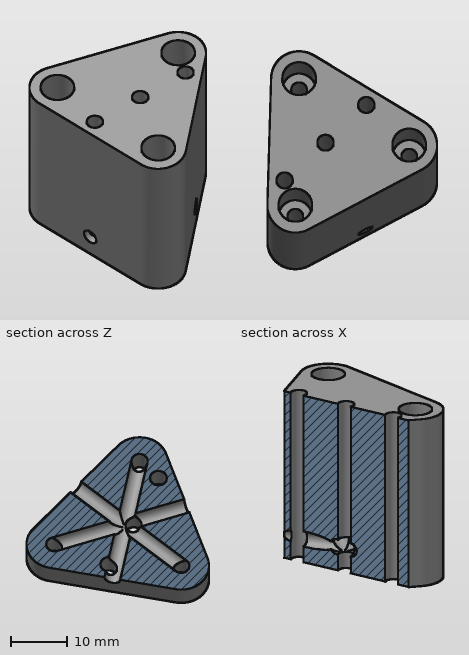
import cadquery as cq
import math

height = 32.0
overall_width = 32.27
corner_radius = 5.0
face_angles = (45, 165, 285)
corner_angles = [angle + 180 for angle in face_angles]

far_reach = math.cos(math.radians(15))
near_reach = math.cos(math.radians(45))
corner_circle_radius = (overall_width - 2 * corner_radius) / (far_reach + near_reach)
face_distance = corner_circle_radius / 2 + corner_radius

centroid_offset = overall_width / 2 - corner_radius - corner_circle_radius * far_reach

bolt_diameter = 2.8
counterbore_diameter = 6.0
counterbore_depth = 10.0

row_hole_diameter = 2.9
row_pitch = 10.0
row_center = (-0.58, -0.58)

side_hole_diameter = 2.8
side_hole_height = 4.52
side_hole_depth = face_distance + corner_circle_radius


def polar(radius, angle):
    """Point at a radius and angle in degrees about the centroid."""
    a = math.radians(angle)
    return (centroid_offset + radius * math.cos(a), centroid_offset + radius * math.sin(a))


corners = [polar(corner_circle_radius, angle) for angle in corner_angles]


def make_body():
    outline = cq.Workplane("XY").polyline(corners).close().offset2D(corner_radius, "arc")
    return outline.extrude(height)


def cut_corner_holes(body):
    return (
        body.faces(">Z").workplane(origin=(0, 0, height)).pushPoints(corners)
        .cboreHole(bolt_diameter, counterbore_diameter, counterbore_depth)
    )


def cut_hole_row(body):
    points = [(row_center[0], row_center[1] + i * row_pitch) for i in (-1, 0, 1)]
    return body.faces(">Z").workplane(origin=(0, 0, height)).pushPoints(points).hole(row_hole_diameter)


def cut_side_holes(body):
    for angle in face_angles:
        start_x, start_y = polar(face_distance, angle)
        a = math.radians(angle)
        inward = cq.Vector(-math.cos(a), -math.sin(a), 0)
        start = cq.Vector(start_x, start_y, side_hole_height)
        body = body.cut(cq.Solid.makeCylinder(side_hole_diameter / 2, side_hole_depth, start, inward))
    return body


result = cut_side_holes(cut_hole_row(cut_corner_holes(make_body())))